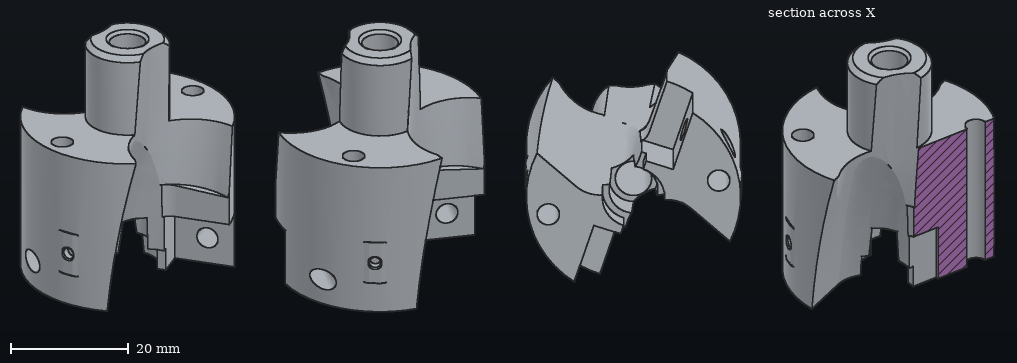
import cadquery as cq
import math

BODY_R = 18.25
BODY_H = 28.15
SHANK_R = 7.2
TOTAL_H = 42.8
SHANK_CHAMFER = 0.95
REACH = 25.7

BORE_R = 3.1
BORE_MOUTH_CHAMFER = 0.55
MID_BORE_R = 4.15
MID_BORE_TOP = 10.1
LOW_BORE_R = 5.3
LOW_BORE_TOP = 4.05

TWIST_RATE = 0.5605
UPPER_WALL_CENTER = (14.25, -7.7)
UPPER_WALL_R = 10.9
UPPER_BACK_R = 10.5
UPPER_JOINT_ANGLE = 152.5

FLOOR_Z = 16.53
FLOOR_X = 6.42
FLOOR_SLOPE = 5.0

LOWER_WALL_CENTER = (4.4, -7.45)
LOWER_WALL_R = 6.1
LOWER_BACK_R = 7.1
LOWER_JOINT_ANGLE = 152.4
LOWER_WALL_SLOPE = 23.7
LOWER_DRIFT_MID = 1.95
LOWER_DRIFT_TOP = 5.25

FACE_FLAT_X = 8.78
FACE_INNER_X = FLOOR_X
FACE_ROUND_DROP = 0.9

SEAT_X = 6.9
SEAT_Y = 4.85
SEAT_H = 10.45
PIN_R = 1.9
PIN_X = 12.7
PIN_Z = 4.8

COOLANT_R = 1.9
COOLANT_PITCH_R = 14.8
COOLANT_ANGLE = 60.0

PAD_ANGLE = -105.0
PAD_W = 4.03
PAD_FLAT_W = 2.0
PAD_H = 7.95
PAD_Z = 9.65
PAD_FACE_R = 18.4
PAD_EDGE_R = 18.1
PAD_ROOT_R = 17.13
PAD_CORNER_R = 0.43
SCREW_R = 1.0
SCREW_DEPTH = 1.55
SCREW_MOUTH_CHAMFER = 0.25


def polar(center, radius, angle):
    a = math.radians(angle)
    return (center[0] + radius * math.cos(a), center[1] + radius * math.sin(a))


def both_sides(shape):
    """The shape and its copy turned half a turn about Z."""
    return [shape, shape.rotate((0, 0, 0), (0, 0, 1), 180)]


def blank():
    body = cq.Workplane("XY").circle(BODY_R).extrude(BODY_H)
    shank = cq.Workplane("XY").circle(SHANK_R).extrude(TOTAL_H).faces(">Z").chamfer(SHANK_CHAMFER)
    return body.union(shank)


def stepped_bore():
    mouth_r = BORE_R + BORE_MOUTH_CHAMFER
    half_section = [
        (0, 0),
        (LOW_BORE_R, 0),
        (LOW_BORE_R, LOW_BORE_TOP),
        (MID_BORE_R, LOW_BORE_TOP),
        (MID_BORE_R, MID_BORE_TOP),
        (BORE_R, MID_BORE_TOP),
        (BORE_R, TOTAL_H - BORE_MOUTH_CHAMFER),
        (mouth_r, TOTAL_H),
        (0, TOTAL_H),
    ]
    return cq.Workplane("XZ").polyline(half_section).close().revolve(360, (0, 0), (0, 1))


def upper_flute():
    """Twisted cutter, trimmed below by the sloping floor."""
    joint = polar(UPPER_WALL_CENTER, UPPER_WALL_R, UPPER_JOINT_ANGLE)
    wall_start = polar(UPPER_WALL_CENTER, UPPER_WALL_R, 270)
    wall_mid = polar(UPPER_WALL_CENTER, UPPER_WALL_R, (270 + UPPER_JOINT_ANGLE) / 2)
    back_center = polar(UPPER_WALL_CENTER, UPPER_WALL_R - UPPER_BACK_R, UPPER_JOINT_ANGLE)
    back_mid = polar(back_center, UPPER_BACK_R, UPPER_JOINT_ANGLE / 2)
    back_end = polar(back_center, UPPER_BACK_R, 0)
    profile = (
        cq.Workplane("XY")
        .moveTo(*wall_start)
        .threePointArc(wall_mid, joint)
        .threePointArc(back_mid, back_end)
        .lineTo(REACH, wall_start[1])
        .close()
    )
    start_z = FLOOR_Z / 2
    cutter_h = TOTAL_H - start_z
    start_angle = TWIST_RATE * (start_z - BODY_H)
    cutter = (
        profile.twistExtrude(cutter_h, TWIST_RATE * cutter_h)
        .rotate((0, 0, 0), (0, 0, 1), start_angle)
        .translate((0, 0, start_z))
    )
    above_floor = (
        cq.Workplane("XY")
        .box(4 * REACH, 4 * REACH, 2 * REACH, centered=(True, True, False))
        .rotate((0, 0, 0), (0, 1, 0), FLOOR_SLOPE)
        .translate((FLOOR_X, 0, FLOOR_Z))
    )
    return cutter.intersect(above_floor)


def lower_flute():
    """Loft through three copies of one profile, each shifted further along X."""

    def section(drift):
        center = (LOWER_WALL_CENTER[0] + drift, LOWER_WALL_CENTER[1])
        wall_angle = 180 + LOWER_WALL_SLOPE
        wall_start = polar(center, LOWER_WALL_R, wall_angle)
        wall_run = REACH + wall_start[1]
        wall_end_x = wall_start[0] + wall_run * math.tan(math.radians(LOWER_WALL_SLOPE))
        joint = polar(center, LOWER_WALL_R, LOWER_JOINT_ANGLE)
        wall_mid = polar(center, LOWER_WALL_R, (wall_angle + LOWER_JOINT_ANGLE) / 2)
        back_center = polar(center, LOWER_WALL_R - LOWER_BACK_R, LOWER_JOINT_ANGLE)
        back_mid = polar(back_center, LOWER_BACK_R, (LOWER_JOINT_ANGLE + 90) / 2)
        back_end = polar(back_center, LOWER_BACK_R, 90)
        return (
            cq.Workplane("XY")
            .moveTo(wall_end_x, -REACH)
            .lineTo(*wall_start)
            .threePointArc(wall_mid, joint)
            .threePointArc(back_mid, back_end)
            .lineTo(REACH, back_end[1])
            .lineTo(REACH, -REACH)
            .close()
            .val()
        )

    heights = [0, BODY_H / 2, BODY_H]
    drifts = [0, LOWER_DRIFT_MID, LOWER_DRIFT_TOP]
    wires = [section(d).translate(cq.Vector(0, 0, z)) for z, d in zip(heights, drifts)]
    return cq.Workplane(cq.Solid.makeLoft(wires))


def cutting_face():
    run = FACE_FLAT_X - FACE_INNER_X
    radius = (run**2 + FACE_ROUND_DROP**2) / (2 * FACE_ROUND_DROP)
    mid_drop = radius - math.sqrt(radius**2 - (run / 2) ** 2)
    return (
        cq.Workplane("XY")
        .moveTo(REACH, 0)
        .lineTo(FACE_FLAT_X, 0)
        .threePointArc((FACE_FLAT_X - run / 2, -mid_drop), (FACE_INNER_X, -FACE_ROUND_DROP))
        .lineTo(FACE_INNER_X, LOWER_WALL_CENTER[1])
        .lineTo(REACH, LOWER_WALL_CENTER[1])
        .close()
        .extrude(FLOOR_Z - SEAT_H)
        .translate((0, 0, SEAT_H))
    )


def insert_seat():
    """Pocket for the insert, the opening from it into the low bore, and the pin hole."""
    flute_y = LOWER_WALL_CENTER[1]
    pocket = (
        cq.Workplane("XY", origin=(SEAT_X, flute_y, 0))
        .box(REACH, SEAT_Y - flute_y, SEAT_H, centered=False)
    )
    opening = (
        cq.Workplane("XY", origin=(MID_BORE_R, flute_y, 0))
        .box(SEAT_X - MID_BORE_R, -flute_y, LOW_BORE_TOP, centered=False)
    )
    pin_hole = cq.Workplane("XZ").center(PIN_X, PIN_Z).circle(PIN_R).extrude(-REACH)
    return pocket.union(opening).union(pin_hole)


def coolant_hole():
    place = polar((0, 0), COOLANT_PITCH_R, COOLANT_ANGLE)
    return cq.Workplane("XY").center(*place).circle(COOLANT_R).extrude(BODY_H)


def on_pad(shape):
    """Move a shape built along +X at height zero to the pad's place on the body."""
    return shape.translate((0, 0, PAD_Z)).rotate((0, 0, 0), (0, 0, 1), PAD_ANGLE)


def wear_pad():
    section = [
        (PAD_ROOT_R, -PAD_W / 2),
        (PAD_EDGE_R, -PAD_W / 2),
        (PAD_FACE_R, -PAD_FLAT_W / 2),
        (PAD_FACE_R, PAD_FLAT_W / 2),
        (PAD_EDGE_R, PAD_W / 2),
        (PAD_ROOT_R, PAD_W / 2),
    ]
    bar = cq.Workplane("XY").polyline(section).close().extrude(PAD_H / 2, both=True)
    plan = cq.Workplane("YZ").rect(PAD_W, PAD_H).extrude(REACH).edges("|X").fillet(PAD_CORNER_R)
    return on_pad(bar.intersect(plan))


def screw_hole():
    mouth_r = SCREW_R + SCREW_MOUTH_CHAMFER
    half_section = [
        (PAD_FACE_R - SCREW_DEPTH, 0),
        (PAD_FACE_R - SCREW_DEPTH, SCREW_R),
        (PAD_FACE_R - SCREW_MOUTH_CHAMFER, SCREW_R),
        (PAD_FACE_R, mouth_r),
        (PAD_FACE_R, 0),
    ]
    return on_pad(cq.Workplane("XY").polyline(half_section).close().revolve(360, (0, 0), (1, 0)))


result = blank()
for pad in both_sides(wear_pad()):
    result = result.union(pad)
result = result.cut(stepped_bore())
for make in (upper_flute, lower_flute, cutting_face, insert_seat, coolant_hole, screw_hole):
    for cutter in both_sides(make()):
        result = result.cut(cutter)